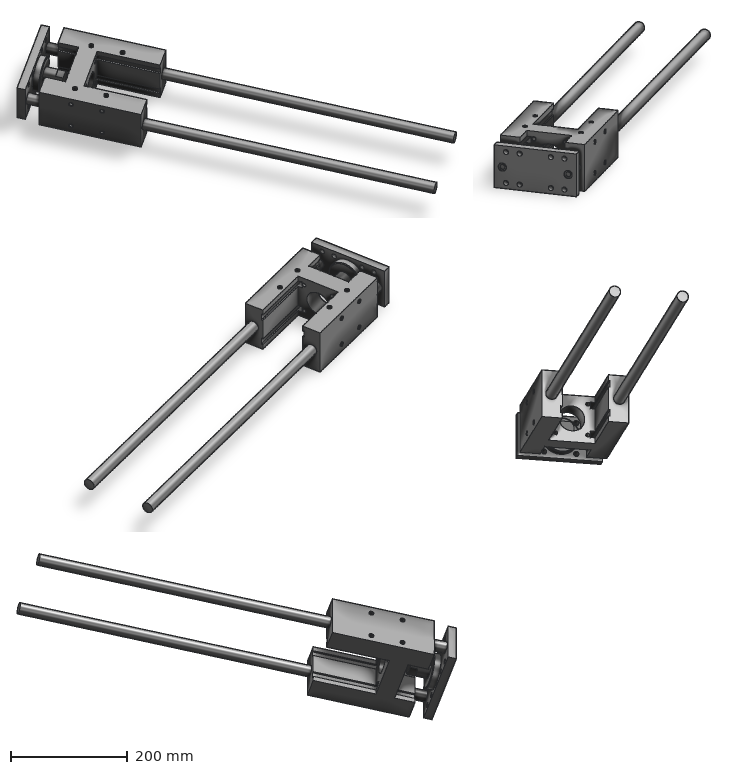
import cadquery as cq

OVERALL_LENGTH = 742.0

PLATE_THICKNESS = 15.0
PLATE_WIDTH = 148.5
PLATE_HEIGHT = 78.0
PLATE_HOLE_DIAMETER = 9.0
PLATE_OUTER_HOLE_Y = 53.0

BODY_START = 40.0
BODY_LENGTH = 182.0
BODY_WIDTH = 152.0
BODY_HEIGHT = 85.0
RAIL_WIDTH = 35.5
CROSSBAR_START = 76.5
CROSSBAR_THICKNESS = 33.5
CROSSBAR_BORE_DIAMETER = 45.0

SCREW_HALF_PITCH = 28.0

SCREW_HOLE_DIAMETER = 7.0
MOUTH_DIAMETER = 8.0
MOUTH_DEPTH = 1.5

MOUNT_HOLE_DEPTH = 11.0
MOUNT_HOLE_START = 96.5
MOUNT_HOLE_PITCH = 56.0
TOP_HOLE_Y = 50.5

GROOVE_LIP = 10.5
GROOVE_HEIGHT = 12.0
GROOVE_DEPTH = 3.0
CHANNEL_INNER_Y = 33.0

ROD_DIAMETER = 20.0
ROD_Y = 59.0
HEAD_SEAT_DIAMETER = 15.0
SCREW_HEAD_DIAMETER = 14.0
SCREW_HEAD_RECESS = 1.0
SCREW_SOCKET_DIAMETER = 9.0
SCREW_SOCKET_DEPTH = 1.5

FLANGE_DIAMETER = 63.0
FLANGE_THICKNESS = 12.5
FLANGE_CHAMFER = 1.5
COUPLING_DIAMETER = 28.0
COUPLING_END = 63.0
FLAT_LENGTH = 13.0
FLAT_SPAN = 23.0

BOTH_SIDES = (-1, 1)


def block(start, length, width, height, y=0.0, z=0.0):
    """Box beginning at X = start and centred on the given Y and Z."""
    box = cq.Workplane("XY").box(length, width, height, centered=(False, True, True))
    return box.translate((start, y, z))


def rod(start, length, diameter, y=0.0, z=0.0):
    """Cylinder along +X beginning at X = start."""
    plane = cq.Workplane("YZ", origin=(start, y, z))
    return plane.circle(diameter / 2).extrude(length)


def make_plate():
    plate = block(0, PLATE_THICKNESS, PLATE_WIDTH, PLATE_HEIGHT)
    for hole_y in (SCREW_HALF_PITCH, PLATE_OUTER_HOLE_Y):
        for side in BOTH_SIDES:
            for level in BOTH_SIDES:
                plate = plate.cut(
                    rod(0, PLATE_THICKNESS, PLATE_HOLE_DIAMETER, side * hole_y, level * SCREW_HALF_PITCH)
                )
    return plate


def make_body():
    rail_y = (BODY_WIDTH - RAIL_WIDTH) / 2
    inner_face_y = BODY_WIDTH / 2 - RAIL_WIDTH
    body = block(CROSSBAR_START, CROSSBAR_THICKNESS, 2 * inner_face_y, BODY_HEIGHT)
    for side in BOTH_SIDES:
        body = body.union(block(BODY_START, BODY_LENGTH, RAIL_WIDTH, BODY_HEIGHT, side * rail_y))
    return cut_mount_holes(cut_crossbar_holes(cut_grooves(body)))


def cut_grooves(body):
    groove_bottom_y = BODY_WIDTH / 2 - RAIL_WIDTH + GROOVE_DEPTH
    groove_width = groove_bottom_y - CHANNEL_INNER_Y
    groove_y = (groove_bottom_y + CHANNEL_INNER_Y) / 2
    groove_z = BODY_HEIGHT / 2 - GROOVE_LIP - GROOVE_HEIGHT / 2
    for side in BOTH_SIDES:
        for level in BOTH_SIDES:
            body = body.cut(
                block(BODY_START, BODY_LENGTH, groove_width, GROOVE_HEIGHT, side * groove_y, level * groove_z)
            )
    return body


def screw_hole(mouth, direction, depth):
    """Cutter for a screw hole entering at the mouth point along the given direction."""
    hole = cq.Solid.makeCylinder(SCREW_HOLE_DIAMETER / 2, depth, mouth, direction)
    return hole.fuse(cq.Solid.makeCylinder(MOUTH_DIAMETER / 2, MOUTH_DEPTH, mouth, direction))


def cut_crossbar_holes(body):
    body = body.cut(rod(CROSSBAR_START, CROSSBAR_THICKNESS, CROSSBAR_BORE_DIAMETER))
    for side in BOTH_SIDES:
        for level in BOTH_SIDES:
            mouth = cq.Vector(CROSSBAR_START, side * SCREW_HALF_PITCH, level * SCREW_HALF_PITCH)
            body = body.cut(screw_hole(mouth, cq.Vector(1, 0, 0), CROSSBAR_THICKNESS))
    return body


def cut_mount_holes(body):
    for hole_x in (MOUNT_HOLE_START, MOUNT_HOLE_START + MOUNT_HOLE_PITCH):
        for side in BOTH_SIDES:
            top_mouth = cq.Vector(hole_x, side * TOP_HOLE_Y, BODY_HEIGHT / 2)
            body = body.cut(screw_hole(top_mouth, cq.Vector(0, 0, -1), MOUNT_HOLE_DEPTH))
            for level in BOTH_SIDES:
                side_mouth = cq.Vector(hole_x, side * BODY_WIDTH / 2, level * SCREW_HALF_PITCH)
                body = body.cut(screw_hole(side_mouth, cq.Vector(0, -side, 0), MOUNT_HOLE_DEPTH))
    return body


def make_guide_rod(y):
    return rod(PLATE_THICKNESS, OVERALL_LENGTH - PLATE_THICKNESS, ROD_DIAMETER, y)


def fit_rod_screw(part, y):
    """Open the plate at a rod axis and seat a screw head with a round recess in it."""
    head_length = PLATE_THICKNESS - SCREW_HEAD_RECESS
    head = rod(SCREW_HEAD_RECESS, head_length, SCREW_HEAD_DIAMETER, y)
    socket = rod(SCREW_HEAD_RECESS, SCREW_SOCKET_DEPTH, SCREW_SOCKET_DIAMETER, y)
    return part.cut(rod(0, PLATE_THICKNESS, HEAD_SEAT_DIAMETER, y)).union(head.cut(socket))


def make_coupling():
    flange = rod(PLATE_THICKNESS, FLANGE_THICKNESS, FLANGE_DIAMETER).faces(">X").chamfer(FLANGE_CHAMFER)
    shaft = rod(PLATE_THICKNESS, COUPLING_END - PLATE_THICKNESS, COUPLING_DIAMETER)
    flat_zone = block(COUPLING_END - FLAT_LENGTH, FLAT_LENGTH, COUPLING_DIAMETER, COUPLING_DIAMETER)
    kept = block(COUPLING_END - FLAT_LENGTH, FLAT_LENGTH, COUPLING_DIAMETER, FLAT_SPAN)
    return flange.union(shaft.cut(flat_zone.cut(kept)))


part = make_plate().union(make_coupling()).union(make_body())
for rod_side in BOTH_SIDES:
    part = part.union(make_guide_rod(rod_side * ROD_Y))
    part = fit_rod_screw(part, rod_side * ROD_Y)

result = part